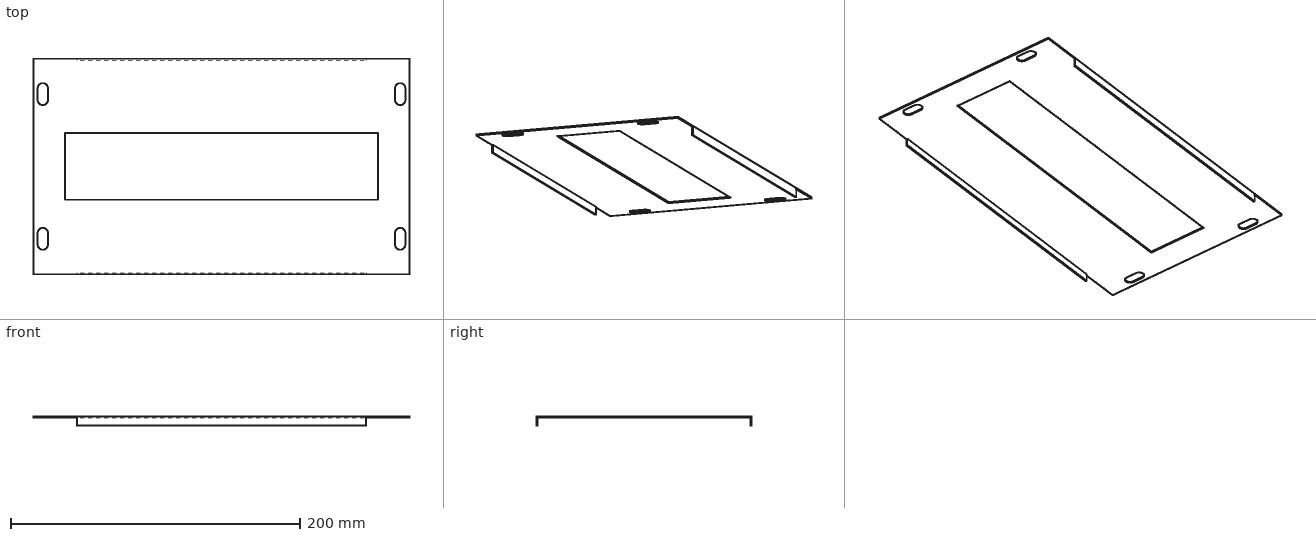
import cadquery as cq

PLATE_LENGTH = 260.0
PLATE_WIDTH = 149.0
SHEET_THICKNESS = 1.0
TOTAL_HEIGHT = 6.5

FLANGE_LENGTH = 200.0

WINDOW_LENGTH = 216.0
WINDOW_WIDTH = 46.0

SLOT_LENGTH = 15.0
SLOT_WIDTH = 7.0
SLOT_SPACING_X = 247.0
SLOT_SPACING_Y = 100.0


def make_plate():
    """Flat front panel with its underside on Z = 0."""
    return cq.Workplane("XY").box(
        PLATE_LENGTH, PLATE_WIDTH, SHEET_THICKNESS, centered=(True, True, False)
    )


def make_flange(side):
    """Stiffening flange hanging from one long edge; side is -1 or +1 along Y."""
    flange_y = side * (PLATE_WIDTH - SHEET_THICKNESS) / 2
    drop = TOTAL_HEIGHT - SHEET_THICKNESS
    return (
        cq.Workplane("XY")
        .box(FLANGE_LENGTH, SHEET_THICKNESS, TOTAL_HEIGHT, centered=(True, True, False))
        .translate((0, flange_y, -drop))
    )


def cut_window(body):
    """Central rectangular opening through the panel."""
    window = cq.Workplane("XY").box(WINDOW_LENGTH, WINDOW_WIDTH, TOTAL_HEIGHT)
    return body.cut(window)


def cut_mounting_slots(body):
    """Four rounded mounting slots near the corners, long in Y."""
    slots = (
        cq.Workplane("XY")
        .rect(SLOT_SPACING_X, SLOT_SPACING_Y, forConstruction=True)
        .vertices()
        .slot2D(SLOT_LENGTH, SLOT_WIDTH, angle=90)
        .extrude(SHEET_THICKNESS)
    )
    return body.cut(slots)


panel = make_plate()
for edge_side in (-1, 1):
    panel = panel.union(make_flange(edge_side))
panel = cut_window(panel)
result = cut_mounting_slots(panel)